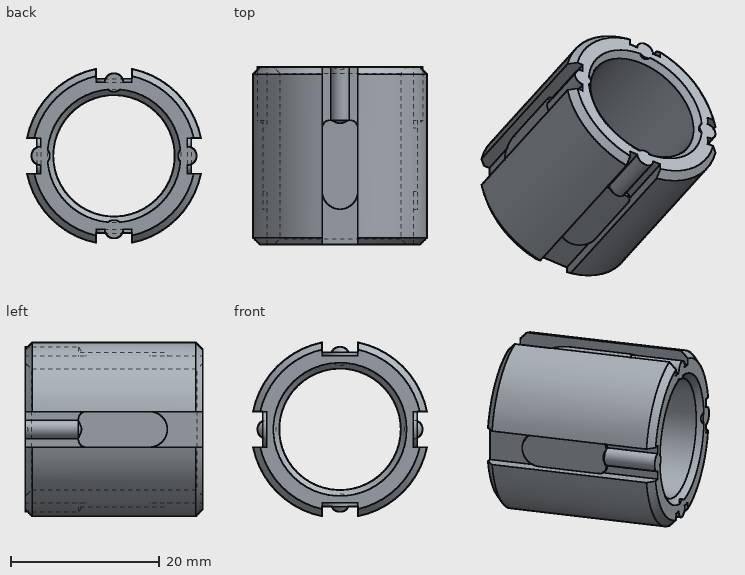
import cadquery as cq
import math

length = 24.0
outer_radius = 12.0
bore_diameter = 16.37
outer_chamfer = 0.95
bore_chamfer = 0.82

slot_count = 4
slot_width = 4.8
slot_floor_height = 9.9

pad_top_height = 10.45
pad_length = 12.0
pad_corner_radius = 1.0
pad_root_depth = 0.25

pin_radius = 1.25
pin_axis_height = slot_floor_height
pin_length = 7.2
pin_tip_angle = 120.0
pin_tip_length = pin_radius / math.tan(math.radians(pin_tip_angle / 2))

rear_y = length / 2


def make_sleeve():
    bore_radius = bore_diameter / 2
    body = cq.Workplane("XZ").circle(outer_radius).extrude(length / 2, both=True)
    body = body.faces("<Y or >Y").edges().chamfer(outer_chamfer)
    bore = cq.Workplane("XZ").circle(bore_radius).extrude(length / 2, both=True)
    body = body.cut(bore)
    bore_rims = cq.selectors.RadiusNthSelector(0)
    return body.faces("<Y or >Y").edges(bore_rims).chamfer(bore_chamfer)


def make_slot():
    depth = outer_radius - slot_floor_height
    slot_block = cq.Workplane("XY").box(slot_width, length, depth, centered=(True, True, False))
    return slot_block.translate((0, 0, slot_floor_height))


def make_pad():
    half_width = slot_width / 2
    back_y = rear_y - pin_length
    front_y = back_y - pad_length
    base_height = slot_floor_height - pad_root_depth
    pad = (
        cq.Workplane("XY", origin=(0, 0, base_height))
        .moveTo(-half_width, back_y)
        .lineTo(half_width, back_y)
        .lineTo(half_width, front_y + half_width)
        .threePointArc((0, front_y), (-half_width, front_y + half_width))
        .close()
        .extrude(pad_top_height - base_height)
    )
    return pad.edges("|Z and >Y").fillet(pad_corner_radius)


def make_pin():
    tip_y = rear_y - pin_length - pin_tip_length
    return (
        cq.Workplane("XY", origin=(0, 0, pin_axis_height))
        .moveTo(0, rear_y)
        .lineTo(pin_radius, rear_y)
        .lineTo(pin_radius, rear_y - pin_length)
        .lineTo(0, tip_y)
        .close()
        .revolve(360, (0, 0, 0), (0, 1, 0))
    )


result = make_sleeve()
slot = make_slot()
pad_and_pin = make_pad().union(make_pin())
for index in range(slot_count):
    angle = index * 360 / slot_count
    result = result.cut(slot.rotate((0, 0, 0), (0, 1, 0), angle))
    result = result.union(pad_and_pin.rotate((0, 0, 0), (0, 1, 0), angle))